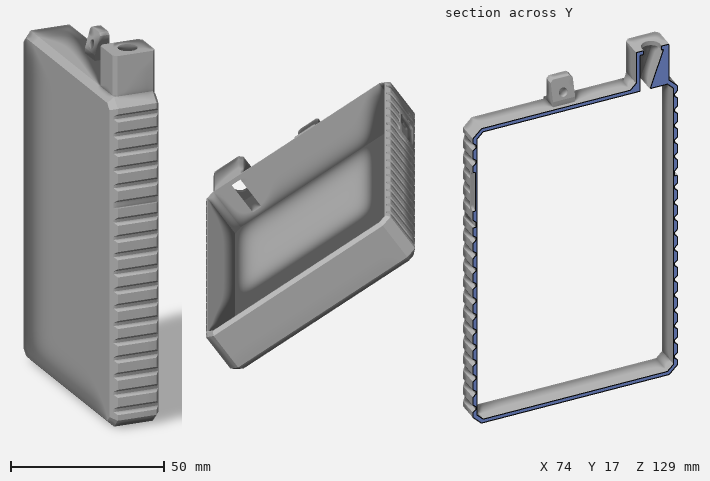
import cadquery as cq

total_height = 129
body_width = 74.0
body_depth = 17.0
body_height = 115.0

corner_cut = 3.1
front_chamfer = 2.0
back_chamfer = 1.2
wall = 1.5
cavity_corner_cut = 2.2

groove_count = 18
groove_end_margin = 6.5
groove_pitch = (body_height - 2 * groove_end_margin) / (groove_count - 1)
groove_depth = 1.0
groove_mouth = 2.8
groove_floor = 1.0
square_groove = 12

tower_width = 12.0
tower_chamfer = 1.2
tower_flare = 2.0
tower_bore = 6.6
tower_right = body_width / 2 - corner_cut
tower_left = tower_right - tower_width
tower_center_x = (tower_left + tower_right) / 2
tower_center_y = (front_chamfer + body_depth) / 2

bore_depth = 1.7
passage_wall = 1.5
passage_top_right = 31.7
passage_bottom_right = 27.0

lug_width = 8.0
lug_center_x = -3.4
lug_height = 9.3
lug_front_y = 9.8
lug_back_y = 15.0
lug_top_front_y = 11.9
lug_foot = 1.9
lug_corner_cut = 0.9
lug_hole = 3.1
lug_hole_rise = 4.4

port_y = 6.6
port_z = 91.0
port_pad_width = 7.7
port_pad_length = 16.0
recess_width = 6.6
recess_length = 15.0
recess_radius = 1.5
recess_depth = 0.9
slot_width = 3.1
slot_length = 9.2
slot_radius = 0.8

side_holes = [
    (0.5, 5.5, 106.0),
    (0.5, 5.5, 104.9),
    (1.2, 5.7, 99.6),
    (0.5, 6.5, 81.3),
]

left = -body_width / 2


def box_between(x_range, y_range, z_range):
    """Box spanning the given coordinate ranges."""
    size = [high - low for low, high in (x_range, y_range, z_range)]
    return cq.Workplane("XY").box(*size, centered=False).translate((x_range[0], y_range[0], z_range[0]))


def prism_along_y(points, y_start, y_end):
    """Extrude an XZ outline from y_start to y_end."""
    return cq.Workplane("XZ", origin=(0, y_start, 0)).polyline(points).close().extrude(y_start - y_end)


def case_block():
    block = box_between((left, -left), (0, body_depth), (0, body_height))
    block = block.edges("|Y").chamfer(corner_cut)
    block = block.faces("<Y").chamfer(front_chamfer)
    return block.faces(">Y").chamfer(back_chamfer)


def cavity():
    space = box_between((left + wall, -left - wall), (wall, body_depth), (wall, body_height - wall))
    return space.edges("|Y").chamfer(cavity_corner_cut)


def grooves():
    """Trapezoidal grooves through the depth of the case, mirrored on both sides."""
    cutters = cq.Workplane("XY")
    for index in range(groove_count):
        z = groove_end_margin + index * groove_pitch
        lower_lip = z - groove_mouth / 2
        lower_root = lower_lip if index == square_groove else z - groove_floor / 2
        profile = [
            (left, lower_lip),
            (left + groove_depth, lower_root),
            (left + groove_depth, z + groove_floor / 2),
            (left, z + groove_mouth / 2),
        ]
        groove = prism_along_y(profile, 0, body_depth)
        cutters = cutters.add(groove).add(groove.mirror("YZ"))
    return cutters.combine()


def port_pad():
    """Flat area around the port that the grooves leave standing."""
    return box_between(
        (left, left + groove_depth),
        (port_y - port_pad_width / 2, port_y + port_pad_width / 2),
        (port_z - port_pad_length / 2, port_z + port_pad_length / 2),
    )


def rounded_pocket(width, length, radius, depth):
    """Rounded rectangle cut into the left side, centred on the port."""
    pocket = box_between(
        (left, left + depth),
        (port_y - width / 2, port_y + width / 2),
        (port_z - length / 2, port_z + length / 2),
    )
    return pocket.edges("|X").fillet(radius)


def side_hole(diameter, y, z):
    return cq.Workplane("YZ", origin=(left, y, z)).circle(diameter / 2).extrude(wall)


def tower():
    """Chamfered square tower whose left foot flares out at 45 degrees."""
    column = box_between(
        (tower_left, tower_right), (front_chamfer, body_depth), (body_height - wall, total_height)
    )
    column = column.edges("|Z").chamfer(tower_chamfer)
    foot_profile = [
        (tower_left - tower_flare, body_height - wall),
        (tower_left - tower_flare, body_height),
        (tower_left, body_height + tower_flare),
        (tower_center_x, body_height + tower_flare),
        (tower_center_x, body_height - wall),
    ]
    foot = prism_along_y(foot_profile, front_chamfer, body_depth)
    foot = foot.intersect(
        box_between(
            (tower_left - tower_flare, tower_right),
            (front_chamfer, body_depth),
            (0, total_height),
        ).edges("<X and |Z").chamfer(tower_flare + tower_chamfer)
    )
    return column.union(foot)


def tower_passage():
    """Bore from the top into a chamber that narrows down to the case cavity."""
    chamber_top = total_height - bore_depth
    profile = [
        (tower_left + passage_wall, body_height - wall),
        (tower_left + passage_wall, chamber_top),
        (passage_top_right, chamber_top),
        (passage_bottom_right, body_height - wall),
    ]
    chamber = prism_along_y(profile, front_chamfer + passage_wall, body_depth - passage_wall)
    bore = cq.Workplane("XY", origin=(tower_center_x, tower_center_y, chamber_top))
    return chamber.union(bore.circle(tower_bore / 2).extrude(bore_depth))


def lug():
    lug_left = lug_center_x - lug_width / 2
    profile = [
        (lug_back_y, body_height),
        (lug_front_y, body_height),
        (lug_front_y, body_height + lug_foot),
        (lug_top_front_y, body_height + lug_height),
        (lug_back_y, body_height + lug_height),
    ]
    ear = cq.Workplane("YZ", origin=(lug_left, 0, 0)).polyline(profile).close().extrude(lug_width)
    ear = ear.faces(">Z").edges("|Y").chamfer(lug_corner_cut)
    hole = cq.Workplane("XZ", origin=(lug_center_x, 0, body_height + lug_hole_rise))
    ear = ear.cut(hole.circle(lug_hole / 2).extrude(-body_depth))
    heel = box_between(
        (lug_left, lug_left + lug_width),
        (lug_back_y, body_depth),
        (body_height - wall, body_height),
    )
    return ear.union(heel)


result = case_block().cut(grooves().cut(port_pad())).cut(cavity())
result = result.union(tower()).union(lug())
result = result.cut(tower_passage())
result = result.cut(rounded_pocket(recess_width, recess_length, recess_radius, recess_depth))
result = result.cut(rounded_pocket(slot_width, slot_length, slot_radius, wall))
for diameter, y, z in side_holes:
    result = result.cut(side_hole(diameter, y, z))